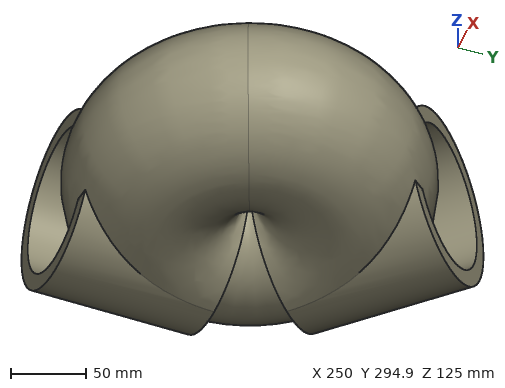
import cadquery as cq

socket_radius = 62.5
wall = 11.5
pipe_radius = socket_radius - wall
bend_radius = 62.5
front_socket_length = 112.5
angled_socket_length = 115.3
bend_angle = 45


def bend(section_radius, sweep_angle):
    """Solid bend about Z, starting on the -X side and running clockwise from above."""
    return (
        cq.Workplane("XZ")
        .center(-bend_radius, 0)
        .circle(section_radius)
        .revolve(sweep_angle, (bend_radius, 0), (bend_radius, -1))
    )


def socket_half(length):
    """Half of the large ring, ending on the XZ plane at -X, with a socket running toward +Y."""
    socket = (
        cq.Workplane("XZ")
        .center(-bend_radius, 0)
        .circle(socket_radius)
        .circle(pipe_radius)
        .extrude(-length)
    )
    half_sweep = (360 - bend_angle) / 2
    half_ring = bend(socket_radius, half_sweep).rotate((0, 0, 0), (0, 0, 1), half_sweep).mirror("XZ")
    return half_ring.union(socket)


front_half = socket_half(front_socket_length).mirror("XZ")
angled_half = socket_half(angled_socket_length).rotate((0, 0, 0), (0, 0, 1), -bend_angle)
short_bend = bend(pipe_radius, bend_angle)

result = front_half.union(angled_half).union(short_bend)